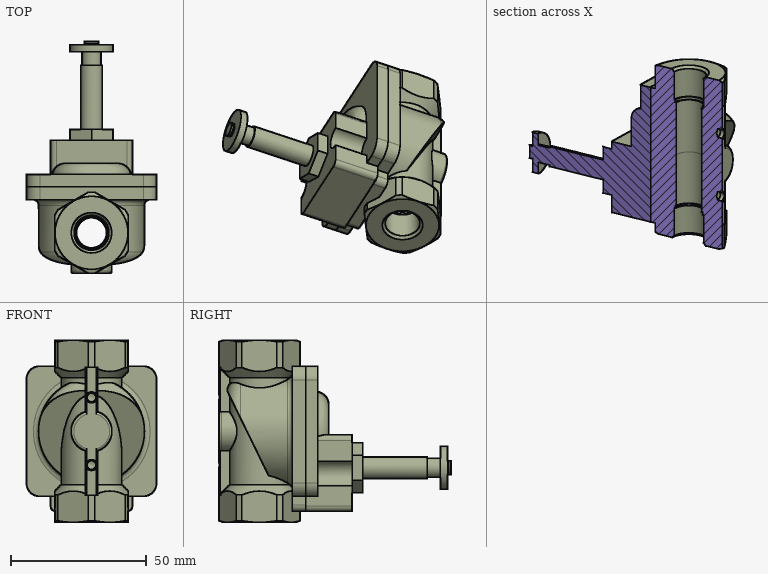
import cadquery as cq
import math


overall_length = 85.5

port_length = 67.0
hex_flats = 27.0
hex_corner_radius = 15.0
end_face_radius = 13.4
end_chamfer_height = 0.6
neck_radius = 11.2
neck_half_length = 19.7

thread_diameter = 12.8
thread_depth = 12.0
thread_chamfer = 1.0
step_diameter = 12.0
step_length = 1.0
bore_diameter = 11.0

bowl_radius = 19.5
bowl_floor_y = -12.0
bowl_floor_fillet = 5.0
bowl_flange_fillet = 2.0
slant_angle = 26.0
slant_y = -4.6

flange_width = 48.0
flange_corner_radius = 5.0
flange_y = 12.1
split_y = 17.0
plate_y = 21.5
tab_width = 30.2
housing_tab_width = 26.85
tab_bottom_z = -29.5
housing_tab_radius = 2.4

front_y = -hex_corner_radius
boss_diameter = 15.05
boss_fillet = 0.9
rib_width = 4.5
rib_length = 47.0
rib_chamfer = 0.6
rib_hole_diameter = 3.25
rib_hole_mouth_diameter = 4.0
rib_hole_depth = 2.1
rib_hole_spacing = 24.9
hole_floor_angle = 150.0

dome_radius = 14.6
dome_top_y = 25.6
dome_fillet = 5.0
block_top_z = -1.3
block_y = 34.1
block_corner_radius = 2.05
groove_radius = 4.5
groove_z = -15.6

tube_z = -13.4
nut_flats = 16.0
nut_y = 38.05
tube_diameter = 8.0
tube_y = 61.65
tube_neck_diameter = 7.0
tube_neck_y = 66.5
disc_diameter = 16.0
disc_y = 69.2
tip_neck_diameter = 5.0
tip_diameter = 5.2
tip_length = 0.85
tip_y = front_y + overall_length


def box_between(x_half, y_start, y_end, z_start, z_end):
    """Box centred on X = 0 between two Y and two Z positions."""
    return cq.Workplane("XY").box(
        2 * x_half, y_end - y_start, z_end - z_start, centered=(True, False, False)
    ).translate((0, y_start, z_start))


def cylinder_y(diameter, y_start, y_end, z=0.0, x=0.0):
    """Cylinder along Y between two Y positions."""
    axis = cq.Plane(origin=(x, y_start, z), xDir=(1, 0, 0), normal=(0, 1, 0))
    return cq.Workplane(axis).circle(diameter / 2).extrude(y_end - y_start)


def flange_plate(y_start, y_end):
    half = flange_width / 2
    return box_between(half, y_start, y_end, -half, half).edges("|Y").fillet(flange_corner_radius)


def bowl():
    body = cylinder_y(2 * bowl_radius, bowl_floor_y, flange_y).faces("<Y").edges().fillet(bowl_floor_fillet)
    reach = 2 * flange_width
    cutter = box_between(reach / 2, -reach, 0, -reach / 2, reach / 2)
    cutter = cutter.rotate((0, 0, 0), (1, 0, 0), slant_angle).translate((0, slant_y, 0))
    return body.cut(cutter)


def bowl_flange_ring():
    """Concave fillet between the bowl and the flange, as a ring around the Y axis."""
    outer = bowl_radius + bowl_flange_fillet
    start_y = flange_y - bowl_flange_fillet
    diagonal = bowl_flange_fillet * math.sqrt(0.5)
    return (
        cq.Workplane("XY")
        .moveTo(0, start_y)
        .lineTo(bowl_radius, start_y)
        .threePointArc((outer - diagonal, start_y + diagonal), (outer, flange_y))
        .lineTo(0, flange_y)
        .close()
        .revolve(360, (0, 0, 0), (0, 1, 0))
    )


def pipe_ends():
    """Turned neck with a hexagon at each end, in one revolved envelope."""
    top = port_length / 2
    cone_end = neck_half_length + hex_corner_radius - neck_radius
    half_outline = [
        (0, 0),
        (neck_radius, 0),
        (neck_radius, neck_half_length),
        (hex_corner_radius, cone_end),
        (hex_corner_radius, top - end_chamfer_height),
        (end_face_radius, top),
        (0, top),
    ]
    turned = cq.Workplane("XZ").polyline(half_outline).close().revolve(360, (0, 0, 0), (0, 1, 0))
    hexagon = cq.Workplane("XY").polygon(6, hex_flats, circumscribed=True).extrude(top)
    end = turned.intersect(hexagon)
    return end.union(end.mirror("XY"))


def rib():
    bar = box_between(rib_width / 2, front_y, 0, -rib_length / 2, rib_length / 2)
    return bar.faces("<Y").edges("|Z").chamfer(rib_chamfer)


def boss():
    return cylinder_y(boss_diameter, front_y, 0).faces("<Y").edges().fillet(boss_fillet)


def rib_hole(z):
    """Blind drilled hole with a countersunk mouth and a conical floor."""
    radius = rib_hole_diameter / 2
    mouth_radius = rib_hole_mouth_diameter / 2
    point_length = radius / math.tan(math.radians(hole_floor_angle / 2))
    outline = [
        (0, front_y),
        (mouth_radius, front_y),
        (radius, front_y + mouth_radius - radius),
        (radius, front_y + rib_hole_depth),
        (0, front_y + rib_hole_depth + point_length),
    ]
    hole = cq.Workplane("XY").polyline(outline).close().revolve(360, (0, 0, 0), (0, 1, 0))
    return hole.translate((0, 0, z))


def bore():
    """Through bore, stepping out to a wider, countersunk thread section at each end."""
    top = port_length / 2
    thread_radius = thread_diameter / 2
    half_outline = [
        (0, 0),
        (bore_diameter / 2, 0),
        (bore_diameter / 2, top - thread_depth - step_length),
        (step_diameter / 2, top - thread_depth - step_length),
        (step_diameter / 2, top - thread_depth),
        (thread_radius, top - thread_depth),
        (thread_radius, top - thread_chamfer),
        (thread_radius + thread_chamfer, top),
        (0, top),
    ]
    half = cq.Workplane("XZ").polyline(half_outline).close().revolve(360, (0, 0, 0), (0, 1, 0))
    return half.union(half.mirror("XY"))


def make_housing():
    tab = box_between(housing_tab_width / 2, flange_y, split_y, tab_bottom_z, 0)
    tab = tab.faces("<Z").edges("|Y").fillet(housing_tab_radius)
    body = flange_plate(flange_y, split_y).union(tab).union(bowl()).union(bowl_flange_ring())
    body = body.union(pipe_ends()).union(rib()).union(boss())
    for side in (1, -1):
        body = body.cut(rib_hole(side * rib_hole_spacing / 2))
    return body.cut(bore())


def cover_block():
    """Block that carries the tube; its lower part runs down to the split as the cover's tab."""
    block = box_between(tab_width / 2, split_y, block_y, tab_bottom_z, block_top_z)
    block = block.edges("|Y").fillet(block_corner_radius)
    for side in (1, -1):
        block = block.cut(
            cylinder_y(2 * groove_radius, plate_y, block_y, z=groove_z, x=side * tab_width / 2)
        )
    return block


def armature_tube():
    nut_plane = cq.Plane(origin=(0, block_y, tube_z), xDir=(1, 0, 0), normal=(0, 1, 0))
    tube = cq.Workplane(nut_plane).polygon(6, nut_flats, circumscribed=True).extrude(nut_y - block_y)
    steps = [
        (tube_diameter, nut_y, tube_y),
        (tube_neck_diameter, tube_y, tube_neck_y),
        (disc_diameter, tube_neck_y, disc_y),
        (tip_neck_diameter, disc_y, tip_y - tip_length),
        (tip_diameter, tip_y - tip_length, tip_y),
    ]
    for diameter, y_start, y_end in steps:
        tube = tube.union(cylinder_y(diameter, y_start, y_end, z=tube_z))
    return tube


def make_cover():
    dome = cylinder_y(2 * dome_radius, split_y, dome_top_y).faces(">Y").edges().fillet(dome_fillet)
    return flange_plate(split_y, plate_y).union(dome).union(cover_block()).union(armature_tube())


housing = make_housing()
cover = make_cover()
result = cq.Compound.makeCompound([housing.solids().val(), cover.solids().val()])